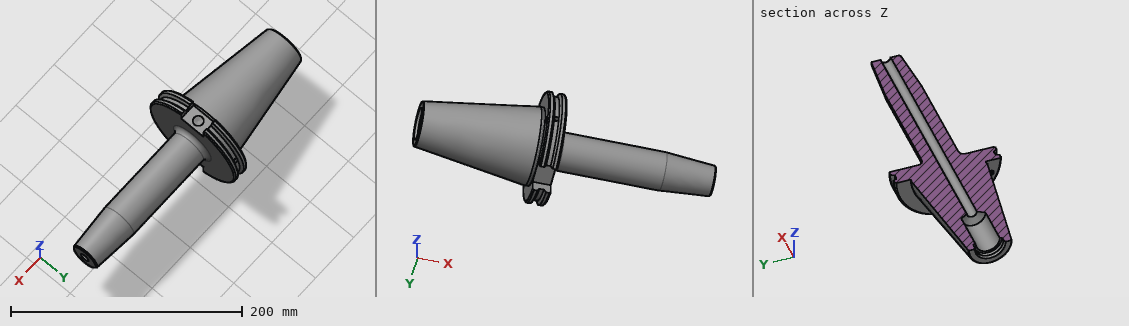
import cadquery as cq
import math

total_length = 261.5
gauge_line = 101.5
undercut_start = 103.0
flange_back = 104.6
flange_front = 120.9
nose_start = 216.9

taper_large_diameter = 69.8
taper_small_diameter = 40.3
taper_chamfer = 0.8
undercut_diameter = 69.3
shank_diameter = 34.0
shank_fillet = 4.7
nose_end_diameter = 27.2
nose_chamfer = 1.0

flange_diameter = 98.0
flange_chamfer = 1.3
groove_center = (flange_back + flange_front) / 2
groove_floor_width = 4.0
groove_floor_diameter = 91.5
groove_wall_angle = 30.0

slot_width = 25.5
upper_slot_floor = 37.7
lower_slot_floor = 35.3
dimple_diameter = 9.5
dimple_depth = 3.0

bore_diameter = 26.2
bore_mouth_diameter = 28.3
bore_mouth_depth = 2.5
bore_depth = 6.3
inner_bore_diameter = 22.0
inner_bore_depth = 41.9
coolant_diameter = 9.0
bore_cone_length = 4.0

port_angle = 20.0
port_circle_radius = 41.9
port_mouth_diameter = 5.0
port_mouth_depth = 1.3
port_diameter = 3.1
outlet_diameter = 4.2
outlet_floor_radius = 39.8


def make_body():
    """Revolve the taper, flange, shank and nose as one solid."""
    rim = flange_diameter / 2
    groove_floor = groove_floor_diameter / 2
    shank = shank_diameter / 2
    floor_half = groove_floor_width / 2
    rim_half = floor_half + (rim - groove_floor) * math.tan(math.radians(groove_wall_angle))
    fillet_drop = shank_fillet * (1 - math.sqrt(0.5))

    profile = (
        cq.Workplane("XY")
        .lineTo(0, taper_small_diameter / 2 - taper_chamfer)
        .lineTo(taper_chamfer, taper_small_diameter / 2)
        .lineTo(gauge_line, taper_large_diameter / 2)
        .lineTo(undercut_start, undercut_diameter / 2)
        .lineTo(flange_back, undercut_diameter / 2)
        .lineTo(flange_back, rim - flange_chamfer)
        .lineTo(flange_back + flange_chamfer, rim)
        .lineTo(groove_center - rim_half, rim)
        .lineTo(groove_center - floor_half, groove_floor)
        .lineTo(groove_center + floor_half, groove_floor)
        .lineTo(groove_center + rim_half, rim)
        .lineTo(flange_front - flange_chamfer, rim)
        .lineTo(flange_front, rim - flange_chamfer)
        .lineTo(flange_front, shank + shank_fillet)
        .threePointArc(
            (flange_front + fillet_drop, shank + fillet_drop),
            (flange_front + shank_fillet, shank),
        )
        .lineTo(nose_start, shank)
        .lineTo(total_length - nose_chamfer, nose_end_diameter / 2)
        .lineTo(total_length, nose_end_diameter / 2 - nose_chamfer)
        .lineTo(total_length, 0)
        .close()
    )
    return profile.revolve(360, (0, 0, 0), (1, 0, 0))


def make_bore():
    """Stepped drawbar bore with a conical bottom, continued by the coolant channel."""
    profile = (
        cq.Workplane("XY")
        .lineTo(0, bore_mouth_diameter / 2)
        .lineTo(bore_mouth_depth, bore_diameter / 2)
        .lineTo(bore_depth, bore_diameter / 2)
        .lineTo(bore_depth, inner_bore_diameter / 2)
        .lineTo(inner_bore_depth, inner_bore_diameter / 2)
        .lineTo(inner_bore_depth + bore_cone_length, coolant_diameter / 2)
        .lineTo(total_length, coolant_diameter / 2)
        .lineTo(total_length, 0)
        .close()
    )
    return profile.revolve(360, (0, 0, 0), (1, 0, 0))


def make_slot(floor_height, side):
    """Driving slot above (side = 1) or below (side = -1) the axis."""
    depth = flange_diameter / 2 - floor_height
    length = flange_front - flange_back
    return (
        cq.Workplane("XY")
        .box(length, slot_width, depth)
        .translate((groove_center, 0, side * (floor_height + depth / 2)))
    )


def make_dimple():
    """Conical dimple in the floor of the upper slot."""
    cone = cq.Solid.makeCone(
        dimple_diameter / 2,
        0,
        dimple_depth,
        cq.Vector(groove_center, 0, upper_slot_floor),
        cq.Vector(0, 0, -1),
    )
    return cq.Workplane(obj=cone)


def make_port(angle):
    """Countersunk axial coolant port meeting a radial outlet in the groove floor."""
    outward = cq.Vector(0, math.cos(math.radians(angle)), math.sin(math.radians(angle)))
    along = cq.Vector(1, 0, 0)
    inlet = along * flange_back + outward * port_circle_radius
    outlet_floor = along * groove_center + outward * outlet_floor_radius
    channel_length = groove_center - flange_back
    outlet_length = flange_diameter / 2 - outlet_floor_radius

    mouth = cq.Solid.makeCone(port_mouth_diameter / 2, port_diameter / 2, port_mouth_depth, inlet, along)
    channel = cq.Solid.makeCylinder(port_diameter / 2, channel_length, inlet, along)
    outlet = cq.Solid.makeCylinder(outlet_diameter / 2, outlet_length, outlet_floor, outward)
    return cq.Workplane(obj=mouth).union(cq.Workplane(obj=channel)).union(cq.Workplane(obj=outlet))


result = (
    make_body()
    .cut(make_bore())
    .cut(make_slot(upper_slot_floor, 1))
    .cut(make_slot(lower_slot_floor, -1))
    .cut(make_dimple())
)
for angle in (port_angle, port_angle + 180):
    result = result.cut(make_port(angle))